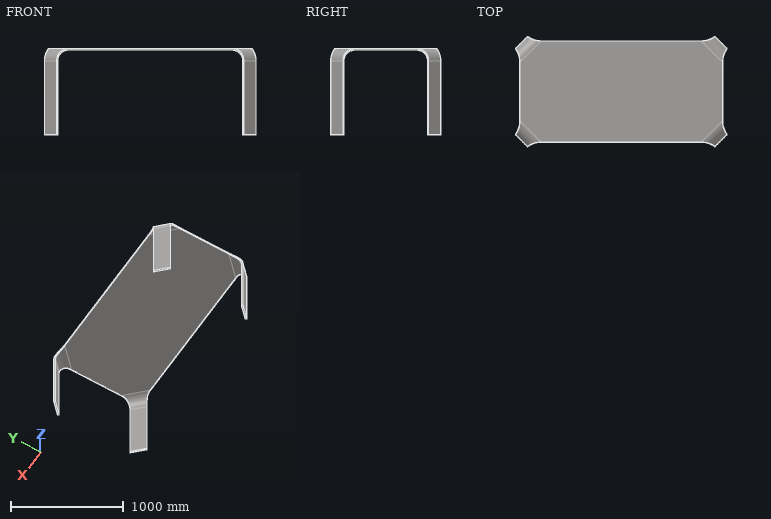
import cadquery as cq
import math

length = 1879.0
width = 979.0
height = 766.0
thickness = 15.0

leg_overhang = 40.0
leg_width = 154.0
corner_cut = 192.0
bend_sections = 9

top_length = length - 2 * leg_overhang
top_width = width - 2 * leg_overhang

half_cut = corner_cut / math.sqrt(2)
half_leg = leg_width / 2
bend_radius = half_cut - half_leg + leg_overhang * math.sqrt(2)
inner_radius = bend_radius - thickness
bend_axis_height = height - bend_radius

narrowing = half_cut - half_leg
flare_radius = (bend_radius**2 + narrowing**2) / (math.sqrt(2) * (bend_radius - narrowing))
flare_offset = flare_radius / math.sqrt(2)


def half_width_at(reach):
    """Half width of the bend at a distance outwards from the corner cut."""
    drop = math.sqrt(flare_radius**2 - (flare_offset - reach) ** 2)
    return half_cut + flare_offset - drop


def make_bend():
    """Quarter-round bend with flared sides that are square to its faces."""
    ring = (
        cq.Workplane("XZ")
        .moveTo(0, height)
        .radiusArc((bend_radius, bend_axis_height), bend_radius)
        .lineTo(inner_radius, bend_axis_height)
        .radiusArc((0, height - thickness), -inner_radius)
        .close()
        .extrude(half_cut, both=True)
    )
    low = inner_radius - thickness
    high = bend_radius + thickness
    wires = []
    for step in range(bend_sections):
        angle = math.pi / 2 * step / (bend_sections - 1)
        side = half_width_at(bend_radius * math.sin(angle))
        corners = [(low, -side), (high, -side), (high, side), (low, side)]
        points = [
            cq.Vector(r * math.sin(angle), y, bend_axis_height + r * math.cos(angle))
            for r, y in corners
        ]
        wires.append(cq.Wire.makePolygon(points, close=True))
    flare = cq.Solid.makeLoft(wires)
    return ring.intersect(cq.Workplane(obj=flare))


def make_leg():
    return cq.Workplane().box(
        thickness, leg_width, bend_axis_height, centered=(False, True, False)
    ).translate((inner_radius, 0, 0))


result = (
    cq.Workplane("XY")
    .workplane(offset=height - thickness)
    .rect(top_length, top_width)
    .extrude(thickness)
    .edges("|Z")
    .chamfer(corner_cut)
)

corner_leg = make_bend().union(make_leg())
for x_side in (-1, 1):
    for y_side in (-1, 1):
        direction = math.degrees(math.atan2(y_side, x_side))
        cut_x = x_side * (top_length - corner_cut) / 2
        cut_y = y_side * (top_width - corner_cut) / 2
        placed = corner_leg.rotate((0, 0, 0), (0, 0, 1), direction)
        result = result.union(placed.translate((cut_x, cut_y, 0)))